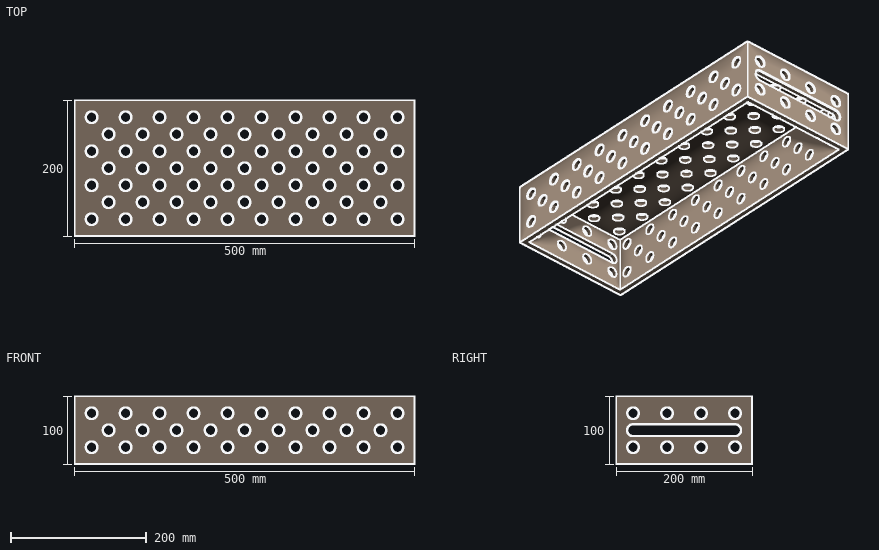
import cadquery as cq

length = 500.0
width = 200.0
height = 100.0
wall = 10.0

hole_pitch = 50.0
edge_offset = hole_pitch / 2
hole_diameter = 16.0
slot_width = 16.5
chamfer = 1.0
chamfer_angle = 45

x_reach = length / 2 - edge_offset
y_reach = width / 2 - edge_offset
z_reach = height / 2 - edge_offset


def grid(u_reach, v_reach):
    """Points of a square grid of holes filling a rectangle centred on the origin."""
    u_count = round(2 * u_reach / hole_pitch) + 1
    v_count = round(2 * v_reach / hole_pitch) + 1
    return [
        (-u_reach + i * hole_pitch, -v_reach + j * hole_pitch)
        for i in range(u_count)
        for j in range(v_count)
    ]


def staggered_grid(u_reach, v_reach):
    """A square grid with one more hole in the middle of every cell."""
    half_pitch = hole_pitch / 2
    return grid(u_reach, v_reach) + grid(u_reach - half_pitch, v_reach - half_pitch)


def make_shell():
    """Block hollowed from below, leaving walls of equal thickness."""
    cavity_size = (length - 2 * wall, width - 2 * wall, height - wall)
    block = cq.Workplane("XY").box(length, width, height, centered=(True, True, False))
    cavity = cq.Workplane("XY").box(*cavity_size, centered=(True, True, False))
    return block.cut(cavity)


def on_wall(body, face):
    """Sketch plane on an outer face, centred on the middle of the block."""
    return body.faces(face).workplane(origin=(0, 0, height / 2))


def drill(body, face, points):
    """Holes through one wall, chamfered at the outer surface."""
    mouth_diameter = hole_diameter + 2 * chamfer
    holes = on_wall(body, face).pushPoints(points)
    return holes.cskHole(hole_diameter, mouth_diameter, 2 * chamfer_angle, depth=wall)


def cut_end_slot(body, face):
    """Round-ended slot across an end plate, chamfered at the outer surface."""
    slot_length = 2 * y_reach + slot_width
    mouth_length = slot_length + 2 * chamfer
    mouth_width = slot_width + 2 * chamfer
    body = on_wall(body, face).slot2D(slot_length, slot_width).cutBlind(-wall)
    mouth = on_wall(body, face).slot2D(mouth_length, mouth_width)
    return mouth.cutBlind(-chamfer, taper=chamfer_angle)


result = make_shell()
result = drill(result, ">Z", staggered_grid(x_reach, y_reach))
for side in ("<Y", ">Y"):
    result = drill(result, side, staggered_grid(x_reach, z_reach))
for end in ("<X", ">X"):
    result = drill(result, end, grid(y_reach, z_reach))
    result = cut_end_slot(result, end)